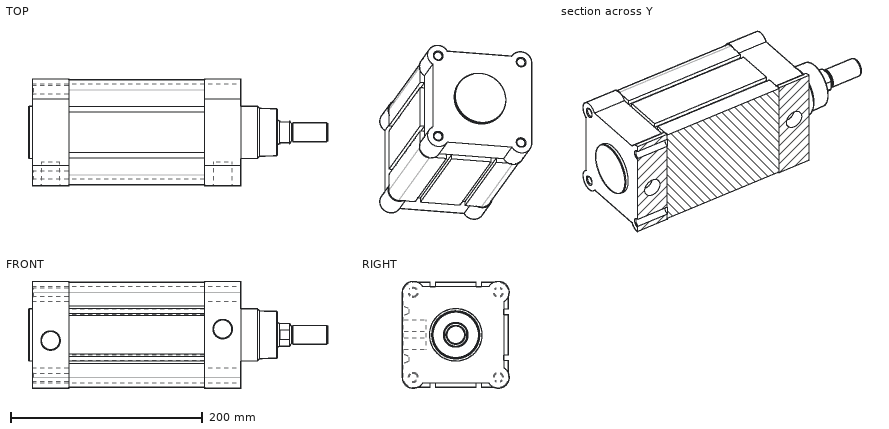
import cadquery as cq

bolt_offset = 44.5
cap_half_width = 56.0
cap_corner_radius = cap_half_width - bolt_offset
cap_relief_half_width = 50.4
barrel_half_width = 55.0
barrel_corner_radius = barrel_half_width - bolt_offset

cap_length = 38.0
barrel_length = 142.0
front_cap_start = cap_length + barrel_length
front_cap_end = front_cap_start + cap_length

bolt_hole_diameter = 8.5
bolt_chamfer_diameter = 10.5

port_diameter = 18.9
port_mouth_diameter = 20.5
port_mouth_depth = 2.5
port_depth = 25.0
port_height = 6.0

slot_offset = 24.0
front_slot_offset = 25.0
slot_width = 5.6
slot_depth = barrel_half_width - cap_relief_half_width
front_slot_mouth_width = 10.0
front_slot_depth = 6.0
front_slot_floor_width = 5.0

spigot_radius = 27.5
spigot_length = 4.0
spigot_chamfer_depth = 0.4
spigot_chamfer_length = 1.1

collar_radius = 27.5
collar_shoulder_x = front_cap_end + 17.2
nose_radius = 25.2
nose_start_x = collar_shoulder_x + (collar_radius - nose_radius)
nose_end_radius = 24.7
nose_end_x = front_cap_end + 38.5
nose_edge_chamfer = 1.0

rod_radius = 12.0
rod_flat_width = 22.0
rod_base_radius = 13.0
rod_base_length = 1.8
flat_setback = 0.8
rod_shoulder_x = front_cap_end + 51.0
thread_radius = 10.0
groove_radius = 9.3
groove_start_x = rod_shoulder_x + 1.7
groove_end_x = groove_start_x + 1.2
thread_start_x = groove_end_x + (thread_radius - groove_radius)
thread_end_chamfer = 0.9
thread_chamfer_length = 1.7
rod_end_x = 309.0


def turned(profile):
    """Solid of revolution about the X axis from (x, radius) points."""
    first_x = profile[0][0]
    last_x = profile[-1][0]
    points = [(first_x, 0), *profile, (last_x, 0)]
    return cq.Workplane("XY").polyline(points).close().revolve(360, (0, 0), (1, 0))


def at_bolts(section):
    """Put the four bolt centres on the stack of a YZ workplane."""
    return section.rect(2 * bolt_offset, 2 * bolt_offset, forConstruction=True).vertices()


def cap_block(start_x):
    """Cap with round bolt lobes, relieved between them on +Y, +Z and -Z, flat on -Y."""
    section = cq.Workplane("YZ", origin=(start_x, 0, 0))
    core_width = bolt_offset + cap_relief_half_width
    core = (
        section.center(cap_relief_half_width - core_width / 2, 0)
        .rect(core_width, 2 * cap_relief_half_width)
        .extrude(cap_length)
    )
    port_wall = (
        section.center(-bolt_offset - cap_corner_radius / 2, 0)
        .rect(cap_corner_radius, 2 * bolt_offset)
        .extrude(cap_length)
    )
    lobes = at_bolts(section).circle(cap_corner_radius).extrude(cap_length)
    return core.union(port_wall).union(lobes)


def port(center_x, center_z):
    """Blind round port bored into the -Y face, with a conical mouth."""
    mouth_face = cq.Workplane("XZ", origin=(center_x, -cap_half_width, center_z))
    bore = mouth_face.circle(port_diameter / 2).extrude(-port_depth)
    mouth = (
        mouth_face.circle(port_mouth_diameter / 2)
        .workplane(offset=-port_mouth_depth)
        .circle(port_diameter / 2)
        .loft(ruled=True)
    )
    return bore.union(mouth)


def make_rear_cap():
    spigot = turned([
        (-spigot_length, spigot_radius - spigot_chamfer_depth),
        (-spigot_length + spigot_chamfer_length, spigot_radius),
        (0, spigot_radius),
    ])
    bolt_holes = at_bolts(cq.Workplane("YZ")).circle(bolt_hole_diameter / 2).extrude(cap_length)
    cap = cap_block(0).cut(bolt_holes)
    cap = cap.faces("<X").edges("%CIRCLE").edges(
        cq.selectors.RadiusNthSelector(0)
    ).chamfer((bolt_chamfer_diameter - bolt_hole_diameter) / 2)
    return cap.union(spigot).cut(port(cap_length / 2, -port_height))


def make_barrel():
    barrel = (
        cq.Workplane("YZ", origin=(cap_length, 0, 0))
        .rect(2 * barrel_half_width, 2 * barrel_half_width)
        .extrude(barrel_length)
        .edges("|X")
        .fillet(barrel_corner_radius)
    )
    half_floor = front_slot_floor_width / 2
    half_mouth = front_slot_mouth_width / 2
    plain_slot = (
        cq.Workplane("YZ", origin=(cap_length, 0, 0))
        .center(0, barrel_half_width - slot_depth / 2)
        .rect(slot_width, slot_depth)
        .extrude(barrel_length)
    )
    slot_floor = barrel_half_width - front_slot_depth
    tapered_slot = (
        cq.Workplane("YZ", origin=(cap_length, 0, 0))
        .polyline([
            (-half_mouth, barrel_half_width),
            (-half_floor, slot_floor),
            (half_floor, slot_floor),
            (half_mouth, barrel_half_width),
        ])
        .close()
        .extrude(barrel_length)
    )
    sides = (
        (0, plain_slot, slot_offset),
        (90, tapered_slot, front_slot_offset),
        (180, plain_slot, slot_offset),
        (270, plain_slot, slot_offset),
    )
    for angle, slot, offset in sides:
        for shift in (-offset, offset):
            placed = slot.translate((0, shift, 0)).rotate((0, 0, 0), (1, 0, 0), angle)
            barrel = barrel.cut(placed)
    return barrel


def make_front_cap():
    collar = turned([
        (front_cap_end, collar_radius),
        (collar_shoulder_x, collar_radius),
        (nose_start_x, nose_radius),
        (nose_end_x - nose_edge_chamfer, nose_end_radius),
        (nose_end_x, nose_end_radius - nose_edge_chamfer),
    ])
    port_x = front_cap_end - cap_length / 2
    return cap_block(front_cap_start).union(collar).cut(port(port_x, port_height))


def make_rod():
    base_end_x = nose_end_x + rod_base_length
    flats_start_x = base_end_x + flat_setback
    rod = turned([
        (nose_end_x, rod_base_radius),
        (base_end_x, rod_radius),
        (rod_shoulder_x, rod_radius),
        (groove_start_x, groove_radius),
        (groove_end_x, groove_radius),
        (thread_start_x, thread_radius),
        (rod_end_x - thread_chamfer_length, thread_radius),
        (rod_end_x, thread_radius - thread_end_chamfer),
    ])
    flat_length = rod_shoulder_x - flats_start_x
    for side in (-1, 1):
        flat = cq.Workplane("XY").box(
            flat_length, rod_radius, 2 * rod_radius, centered=(False, True, True)
        ).translate((flats_start_x, side * (rod_flat_width + rod_radius) / 2, 0))
        rod = rod.cut(flat)
    return rod


rear_cap = make_rear_cap()
barrel = make_barrel()
front_cap = make_front_cap()
rod = make_rod()

result = cq.Compound.makeCompound([rear_cap.val(), barrel.val(), front_cap.val(), rod.val()])